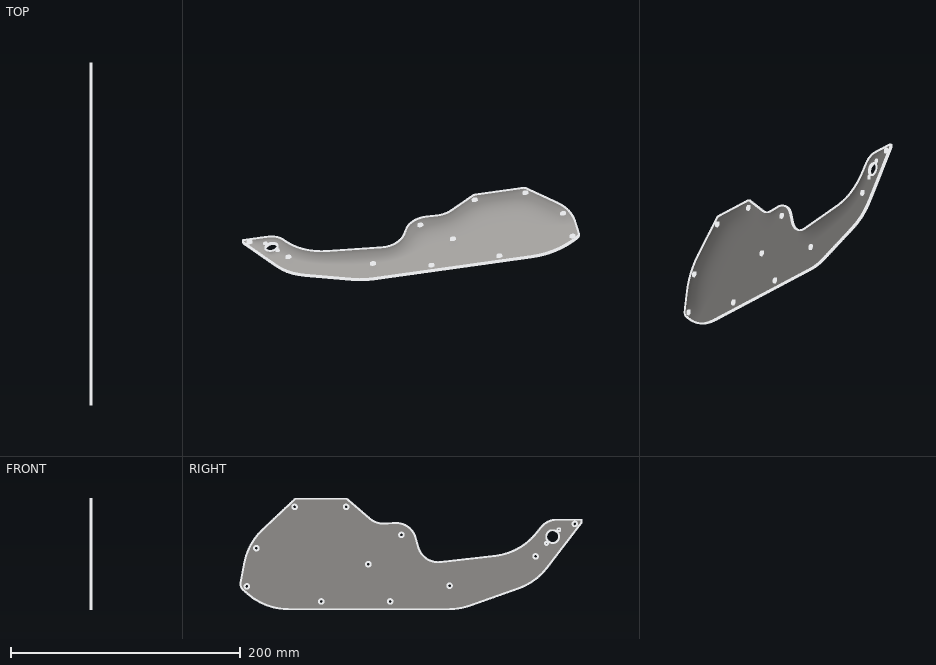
import cadquery as cq
import math

thickness = 1.6
length = 297.0
height = 96.3
front_y = length / 2

large_radius = 53.5
small_radius = 17.8
heel_radius = 6.8

arm_top_z = 78.0
tip_bottom_z = 75.5

screw_diameter = 4.0
shaft_diameter = 11.0
pin_diameter = 2.5

corners = [
    (front_y, arm_top_z, 0),
    (front_y, tip_bottom_z, 0),
    (108.7, 23.5, large_radius),
    (42.5, 0, large_radius),
    (-127.0, 0, large_radius),
    (-149.0, 19.5, heel_radius),
    (-142.0, 57.3, large_radius),
    (-100.7, height, 0),
    (-55.8, height, 0),
    (-30.3, 74.3, small_radius),
    (0.3, 76.0, small_radius),
    (10.5, 39.5, small_radius),
    (95.0, 49.0, large_radius),
    (118.5, arm_top_z, small_radius),
]

screw_holes = [
    (142.5, 74.3),
    (108.5, 46.0),
    (33.5, 20.5),
    (-18.0, 6.8),
    (-78.0, 6.8),
    (-143.0, 20.0),
    (-134.5, 53.2),
    (-101.3, 89.0),
    (-56.5, 89.0),
    (-8.3, 64.8),
    (-37.0, 39.2),
]

shaft_y = 123.3
shaft_z = 63.3
pin_offset_y = 5.3
pin_offset_z = 6.0


def unit_vector(start, end):
    """Direction from start to end in the YZ plane."""
    dy = end[0] - start[0]
    dz = end[1] - start[1]
    distance = math.hypot(dy, dz)
    return dy / distance, dz / distance


def corner_arc(before, corner, after):
    """Start, middle and end of the arc that rounds a corner tangentially."""
    y, z, radius = corner
    to_before = unit_vector(corner, before)
    to_after = unit_vector(corner, after)
    cosine = to_before[0] * to_after[0] + to_before[1] * to_after[1]
    half_angle = math.acos(cosine) / 2
    setback = radius / math.tan(half_angle)
    middle_setback = radius / math.sin(half_angle) - radius
    bisector = unit_vector((0, 0), (to_before[0] + to_after[0], to_before[1] + to_after[1]))
    start = (y + setback * to_before[0], z + setback * to_before[1])
    middle = (y + middle_setback * bisector[0], z + middle_setback * bisector[1])
    end = (y + setback * to_after[0], z + setback * to_after[1])
    return start, middle, end


def make_plate():
    """Extruded outline with its rounded corners."""
    outline = cq.Workplane("YZ").moveTo(*corners[0][:2])
    for index in range(1, len(corners)):
        corner = corners[index]
        if corner[2] == 0:
            outline = outline.lineTo(*corner[:2])
            continue
        following = corners[(index + 1) % len(corners)]
        start, middle, end = corner_arc(corners[index - 1], corner, following)
        outline = outline.lineTo(*start).threePointArc(middle, end)
    return outline.close().extrude(thickness)


def make_drills(centres, diameter):
    """Cylinders through the plate at the given centres."""
    return cq.Workplane("YZ").pushPoints(centres).circle(diameter / 2).extrude(thickness)


pin_holes = [
    (shaft_y + side * pin_offset_y, shaft_z + side * pin_offset_z)
    for side in (-1, 1)
]

result = (
    make_plate()
    .cut(make_drills(screw_holes, screw_diameter))
    .cut(make_drills([(shaft_y, shaft_z)], shaft_diameter))
    .cut(make_drills(pin_holes, pin_diameter))
)